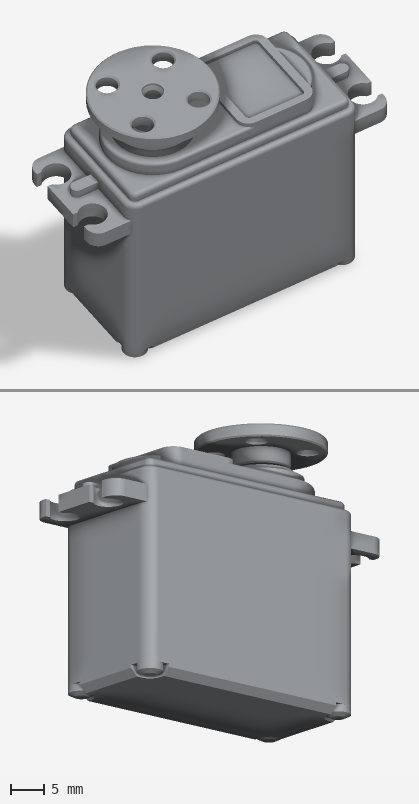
import cadquery as cq


CASE_WIDTH = 20.0
CASE_LENGTH = 40.6
CORNER_RADIUS = 2.0

CORNERS = [(-1, -1), (-1, 1), (1, -1), (1, 1)]

COVER_TOP = 2.6
MIDDLE_TOP = 24.1
CASE_TOP = 32.1
CASE_TOP_FILLET = 0.7

COVER_CHAMFER = 1.15

SCREW_DIAMETER = 2 * CORNER_RADIUS
SCREW_HEIGHT = 1.65
SCREW_CHAMFER_HEIGHT = 0.5
SCREW_CHAMFER_INSET = 0.95
SCREW_X = CASE_WIDTH / 2 - CORNER_RADIUS
SCREW_Y = CASE_LENGTH / 2 - CORNER_RADIUS

EAR_SPAN = 52.8
EAR_WIDTH = 18.7
EAR_BOTTOM = 26.35
EAR_TOP = 29.05
EAR_CORNER_RADIUS = 2.1
MOUNT_HOLE_DIAMETER = 4.55
MOUNT_SLOT_WIDTH = 3.0
MOUNT_HOLE_X = 5.05
MOUNT_HOLE_Y = 23.9
RIB_WIDTH = 2.0
RIB_SPAN = 48.95
RIB_TOP = 30.45

PLINTH_INSET = 1.0
PLINTH_TOP = 33.6
PLINTH_FILLET = 0.7

SHAFT_Y = -10.05
DECK_WIDTH = 16.1
DECK_TOP = 35.85
HOUSING_FILLET = 0.5
BOX_FRONT = 1.0
BOX_REAR = 14.1
BOX_TOP = 36.55
BOX_CORNER_RADIUS = 2.1
BOX_Y = (BOX_FRONT + BOX_REAR) / 2
RECESS_WIDTH = 13.6
RECESS_LENGTH = 10.3
RECESS_DEPTH = 0.7
RECESS_CORNER_RADIUS = 0.65
REAR_DISC_DIAMETER = 13.4
REAR_DISC_Y = 10.25
REAR_DISC_TOP = 35.6

BOSS_DIAMETER = 13.0
BOSS_TOP = 37.35
COLLAR_DIAMETER = 10.0
COLLAR_TOP = 38.3

HORN_DIAMETER = CASE_WIDTH
HORN_TOP = 43.25
HORN_THICKNESS = 2.0
HORN_EDGE_CHAMFER = 0.2
HUB_DIAMETER = 9.0
HUB_BOTTOM = 38.75
HUB_EDGE_CHAMFER = 0.25
HORN_HOLE_DIAMETER = 3.4
HORN_HOLE_CHAMFER = 0.25
HORN_HOLE_CHAMFER_ANGLE = 90
HORN_HOLE_OFFSET = 4.95
HORN_BORE_DIAMETER = 3.4

SHAFT_DIAMETER = 4.8
SHAFT_BOTTOM = PLINTH_TOP
SHAFT_TOP = 42.9
SHAFT_HOLE_DIAMETER = 2.5
SHAFT_HOLE_DEPTH = 3.15
SHAFT_COUNTERSINK_DEPTH = 0.6
DRILL_POINT_DEPTH = 0.75


def case_block(bottom, top, inset=0.0):
    """A block with the case's rounded outline, its sides moved in by `inset`."""
    return (
        cq.Workplane("XY", origin=(0, 0, bottom))
        .rect(CASE_WIDTH - 2 * inset, CASE_LENGTH - 2 * inset)
        .extrude(top - bottom)
        .edges("|Z")
        .fillet(CORNER_RADIUS - inset)
    )


def cylinder(diameter, bottom, top, x=0.0, y=0.0):
    """An upright cylinder between two heights."""
    return cq.Workplane("XY", origin=(x, y, bottom)).circle(diameter / 2).extrude(top - bottom)


def make_cover():
    """Bottom cover with chamfered lower edges and a notch for a screw in each corner."""
    cover = case_block(0, COVER_TOP).faces("<Z").chamfer(COVER_CHAMFER)
    for side, end in CORNERS:
        notch = (
            cq.Workplane("XY", origin=(side * CASE_WIDTH / 2, end * CASE_LENGTH / 2, 0))
            .rect(2 * SCREW_DIAMETER, 2 * SCREW_DIAMETER)
            .extrude(SCREW_HEIGHT)
            .edges("|Z")
            .fillet(SCREW_DIAMETER / 2)
        )
        cover = cover.cut(notch)
    return cover


def make_screw(x, y):
    """Screw head with its lower rim chamfered."""
    head = cylinder(SCREW_DIAMETER, 0, SCREW_HEIGHT, x, y)
    return head.faces("<Z").chamfer(SCREW_CHAMFER_HEIGHT, SCREW_CHAMFER_INSET)


def make_middle():
    """Plain middle section of the case."""
    return case_block(COVER_TOP, MIDDLE_TOP)


def make_ears():
    """Mounting flange through the case, with a stiffening rib and two open holes at each end."""
    flange = (
        cq.Workplane("XY", origin=(0, 0, EAR_BOTTOM))
        .rect(EAR_WIDTH, EAR_SPAN)
        .extrude(EAR_TOP - EAR_BOTTOM)
        .edges("|Z")
        .fillet(EAR_CORNER_RADIUS)
    )
    slot_length = EAR_SPAN / 2 - MOUNT_HOLE_Y
    for side, end in CORNERS:
        x = side * MOUNT_HOLE_X
        hole = cylinder(MOUNT_HOLE_DIAMETER, EAR_BOTTOM, EAR_TOP, x, end * MOUNT_HOLE_Y)
        slot = (
            cq.Workplane("XY", origin=(x, end * (MOUNT_HOLE_Y + slot_length / 2), EAR_BOTTOM))
            .rect(MOUNT_SLOT_WIDTH, slot_length)
            .extrude(EAR_TOP - EAR_BOTTOM)
        )
        flange = flange.cut(hole).cut(slot)
    rib = (
        cq.Workplane("XY", origin=(0, 0, EAR_TOP))
        .slot2D(RIB_SPAN, RIB_WIDTH, 90)
        .extrude(RIB_TOP - EAR_TOP)
    )
    return flange.union(rib)


def make_gear_deck():
    """Deck with a round front end that follows the shaft axis and a straight run under the box."""
    deck_length = BOX_Y - SHAFT_Y
    return (
        cylinder(DECK_WIDTH, PLINTH_TOP, DECK_TOP, 0, SHAFT_Y)
        .union(
            cq.Workplane("XY", origin=(0, SHAFT_Y + deck_length / 2, PLINTH_TOP))
            .rect(DECK_WIDTH, deck_length)
            .extrude(DECK_TOP - PLINTH_TOP)
        )
        .faces(">Z")
        .edges()
        .fillet(HOUSING_FILLET)
    )


def make_gear_box():
    """Rounded box over the rear of the gear deck."""
    return (
        cq.Workplane("XY", origin=(0, BOX_Y, PLINTH_TOP))
        .rect(DECK_WIDTH, BOX_REAR - BOX_FRONT)
        .extrude(BOX_TOP - PLINTH_TOP)
        .edges("|Z")
        .fillet(BOX_CORNER_RADIUS)
    )


def make_recess():
    """The shallow rounded pocket cut into the top of the gear box."""
    return (
        cq.Workplane("XY", origin=(0, BOX_Y, BOX_TOP - RECESS_DEPTH))
        .rect(RECESS_WIDTH, RECESS_LENGTH)
        .extrude(RECESS_DEPTH)
        .edges("|Z")
        .fillet(RECESS_CORNER_RADIUS)
    )


def make_top():
    """Upper case with ears, plinth, gear housing and the boss that the shaft turns in."""
    body = case_block(MIDDLE_TOP, CASE_TOP).faces(">Z").edges().fillet(CASE_TOP_FILLET)
    plinth = case_block(CASE_TOP, PLINTH_TOP, PLINTH_INSET)
    plinth = plinth.faces(">Z").edges().fillet(PLINTH_FILLET)
    rear_disc = cylinder(REAR_DISC_DIAMETER, PLINTH_TOP, REAR_DISC_TOP, 0, REAR_DISC_Y)
    rear_disc = rear_disc.faces(">Z").edges().fillet(HOUSING_FILLET)
    boss = cylinder(BOSS_DIAMETER, DECK_TOP, BOSS_TOP, 0, SHAFT_Y)
    collar = cylinder(COLLAR_DIAMETER, BOSS_TOP, COLLAR_TOP, 0, SHAFT_Y)
    shaft_bore = cylinder(SHAFT_DIAMETER, SHAFT_BOTTOM, COLLAR_TOP, 0, SHAFT_Y)
    return (
        body.union(make_ears())
        .union(plinth)
        .union(rear_disc)
        .union(make_gear_deck())
        .union(make_gear_box())
        .cut(make_recess())
        .union(boss)
        .union(collar)
        .cut(shaft_bore)
    )


def make_shaft():
    """Output shaft with a countersunk screw hole that ends in a drill point."""
    radius = SHAFT_DIAMETER / 2
    hole_radius = SHAFT_HOLE_DIAMETER / 2
    hole_bottom = SHAFT_TOP - SHAFT_HOLE_DEPTH
    return (
        cq.Workplane("XZ")
        .moveTo(0, SHAFT_BOTTOM)
        .lineTo(radius, SHAFT_BOTTOM)
        .lineTo(radius, SHAFT_TOP)
        .lineTo(HORN_BORE_DIAMETER / 2, SHAFT_TOP)
        .lineTo(hole_radius, SHAFT_TOP - SHAFT_COUNTERSINK_DEPTH)
        .lineTo(hole_radius, hole_bottom)
        .lineTo(0, hole_bottom - DRILL_POINT_DEPTH)
        .close()
        .revolve(360, (0, 0), (0, 1))
        .translate((0, SHAFT_Y, 0))
    )


def make_horn():
    """Round horn with a hub below, four chamfered holes and a socket for the shaft."""
    horn_bottom = HORN_TOP - HORN_THICKNESS
    disc = cylinder(HORN_DIAMETER, horn_bottom, HORN_TOP).edges().chamfer(HORN_EDGE_CHAMFER)
    hub = cylinder(HUB_DIAMETER, HUB_BOTTOM, horn_bottom).faces("<Z").chamfer(HUB_EDGE_CHAMFER)
    horn = disc.union(hub)
    hole_mouth = HORN_HOLE_DIAMETER + 2 * HORN_HOLE_CHAMFER
    horn = (
        horn.faces(">Z")
        .workplane(origin=(0, 0, HORN_TOP))
        .rect(2 * HORN_HOLE_OFFSET, 2 * HORN_HOLE_OFFSET, forConstruction=True)
        .vertices()
        .cskHole(HORN_HOLE_DIAMETER, hole_mouth, HORN_HOLE_CHAMFER_ANGLE)
    )
    socket = cylinder(SHAFT_DIAMETER, HUB_BOTTOM, SHAFT_TOP)
    screw_access = cylinder(HORN_BORE_DIAMETER, SHAFT_TOP, HORN_TOP)
    return horn.cut(socket).cut(screw_access).translate((0, SHAFT_Y, 0))


cover = make_cover()
middle = make_middle()
top = make_top()
shaft = make_shaft()
horn = make_horn()
screws = [make_screw(side * SCREW_X, end * SCREW_Y) for side, end in CORNERS]

result = cq.Compound.makeCompound(
    [
        cover.val(),
        middle.val(),
        top.val(),
        shaft.val(),
        horn.val(),
        *[screw.val() for screw in screws],
    ]
)